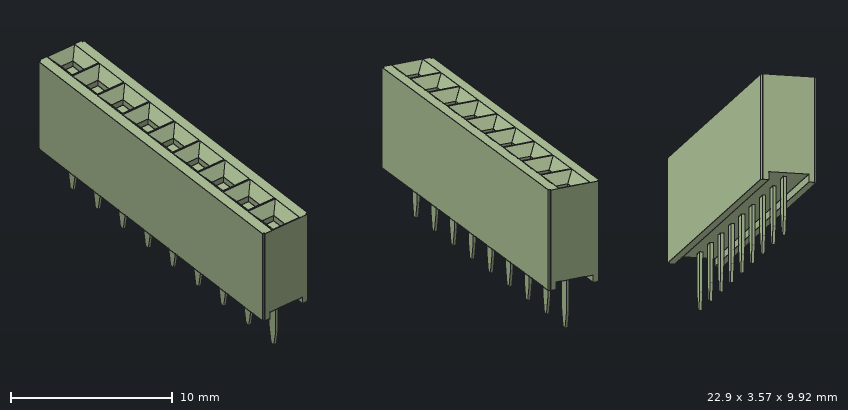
import cadquery as cq

length = 22.85
depth = 3.57
total_height = 9.92

contact_count = 9
pitch = length / contact_count
contact_positions = [((i - (contact_count - 1) / 2) * pitch, 0) for i in range(contact_count)]

housing_height = 6.72
notch_length = 0.11
notch_width = 0.14
channel_width = 2.55
channel_height = 0.5

partition = 0.103
entry_width = 2.15
funnel_depth = 0.65
well_length = 1.17
well_width = 0.91
well_depth = 0.41

pin_width = 0.69
pin_thickness = 0.2
tip_width = 0.3
tip_length = 1.15

pin_bottom = housing_height - total_height


def make_housing():
    """Block with stepped upright edges and a channel along the underside."""
    core_length = length - 2 * notch_length
    end_width = depth - 2 * notch_width
    core = cq.Workplane("XY").box(core_length, depth, housing_height, centered=(True, True, False))
    ends = cq.Workplane("XY").box(length, end_width, housing_height, centered=(True, True, False))
    channel = cq.Workplane("XY").box(length, channel_width, channel_height, centered=(True, True, False))
    return core.union(ends).cut(channel)


def make_entry():
    """Funnel narrowing to a shallow blind well, centred on the Z axis."""
    entry_length = pitch - partition
    funnel = (
        cq.Workplane("XY", origin=(0, 0, housing_height))
        .rect(entry_length, entry_width)
        .workplane(offset=-funnel_depth)
        .rect(well_length, well_width)
        .loft(ruled=True)
    )
    well = (
        cq.Workplane("XY", origin=(0, 0, housing_height - funnel_depth))
        .rect(well_length, well_width)
        .extrude(-well_depth)
    )
    return funnel.union(well)


def make_pin():
    """Flat pin with a tapered tip, hanging from the channel roof on the Z axis."""
    taper_start = pin_bottom + tip_length
    return (
        cq.Workplane("XZ")
        .moveTo(-pin_width / 2, channel_height)
        .lineTo(pin_width / 2, channel_height)
        .lineTo(pin_width / 2, taper_start)
        .lineTo(tip_width / 2, pin_bottom)
        .lineTo(-tip_width / 2, pin_bottom)
        .lineTo(-pin_width / 2, taper_start)
        .close()
        .extrude(pin_thickness / 2, both=True)
    )


def at_contacts(feature):
    """Copies of a feature at every contact position."""
    return cq.Workplane("XY").pushPoints(contact_positions).eachpoint(feature.val(), combine=False)


result = make_housing().cut(at_contacts(make_entry())).union(at_contacts(make_pin()))